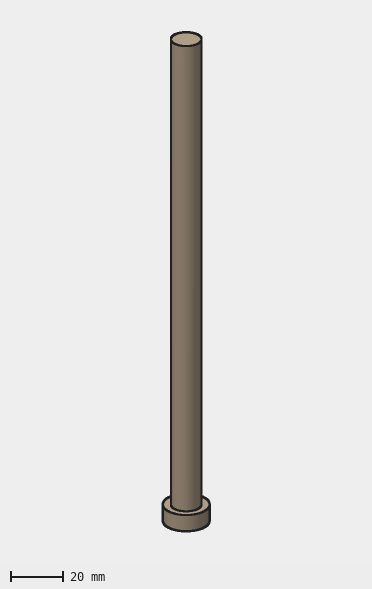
import cadquery as cq

total_length = 207.0

head_diameter = 18.0
head_height = 7.0
shaft_diameter = 11.8
shaft_length = total_length - head_height

head = cq.Workplane("XY").circle(head_diameter / 2).extrude(head_height)

result = head.faces(">Z").workplane().circle(shaft_diameter / 2).extrude(shaft_length)